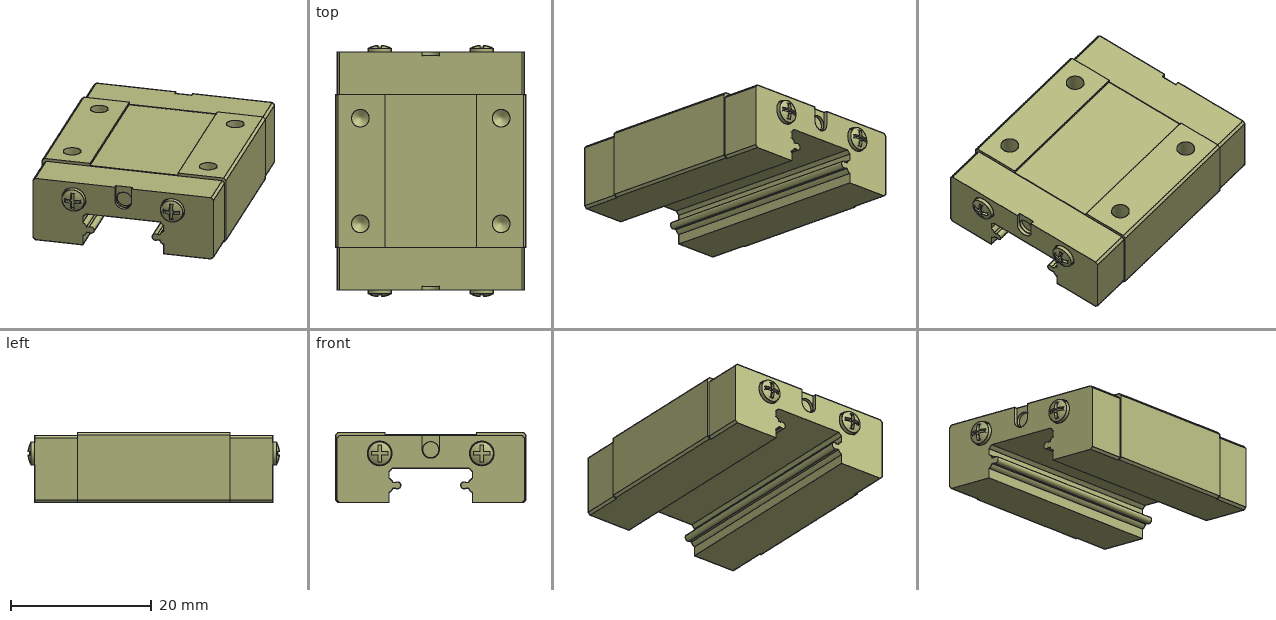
import cadquery as cq
import math

body_width = 27.0
body_length = 21.7
body_height = 10
end_width = 26.55
end_height = 9.55
end_to_end_length = 33.8
edge_chamfer = 0.35

relief_width = 12.92
relief_depth = 0.32

mount_pitch_x = 20
mount_pitch_y = 15
mount_diameter = 2.5
mount_depth = 3.57
drill_point_angle = 118

channel_half_width = 5.92
channel_height = 4.9
channel_chamfer = 0.5
bead_center_x = 4.75
bead_center_z = 2.45
bead_radius = 0.5
neck_half_height = 0.43
flare_center_x = 6.42
flare_radius = 1.15

screw_x = 7.25
screw_z = 7.0
screw_radius = 1.65
screw_clearance_radius = 1.75
screw_clearance_depth = 0.5
screw_rim_height = 0.5
screw_head_height = 0.95
cross_length = 2.4
cross_width = 0.5
cross_depth = 0.65

port_z = 7.53
port_slot_radius = 1.2
port_hole_radius = 1.15
port_slot_depth = 0.55
port_hole_depth = 1.0

end_face_y = end_to_end_length / 2


def chamfered_block(width, length, height):
    """Block standing on Z = 0 with its four lengthwise edges chamfered."""
    block = cq.Workplane("XY").box(width, length, height, centered=(True, True, False))
    return block.edges("|Y").chamfer(edge_chamfer)


def leg(hypotenuse, other_leg):
    """Remaining side of a right triangle."""
    return math.sqrt(hypotenuse**2 - other_leg**2)


def rail_channel():
    """Channel void along the whole part, leaving a bead on each wall."""
    bead_tip = (bead_center_x - bead_radius, bead_center_z)
    shoulder_x = bead_center_x + leg(bead_radius, neck_half_height)
    neck_root_x = flare_center_x - leg(flare_radius, neck_half_height)
    neck_bottom_z = bead_center_z - neck_half_height
    neck_top_z = bead_center_z + neck_half_height

    flare_half_height = leg(flare_radius, flare_center_x - channel_half_width)
    flare_bottom_z = bead_center_z - flare_half_height
    flare_top_z = bead_center_z + flare_half_height
    flare_mid_x = (channel_half_width + neck_root_x) / 2
    flare_mid_rise = leg(flare_radius, flare_center_x - flare_mid_x)

    half = (
        cq.Workplane("XZ", origin=(0, end_face_y, 0))
        .moveTo(0, 0)
        .lineTo(channel_half_width, 0)
        .lineTo(channel_half_width, flare_bottom_z)
        .threePointArc((flare_mid_x, bead_center_z - flare_mid_rise), (neck_root_x, neck_bottom_z))
        .lineTo(shoulder_x, neck_bottom_z)
        .threePointArc(bead_tip, (shoulder_x, neck_top_z))
        .lineTo(neck_root_x, neck_top_z)
        .threePointArc((flare_mid_x, bead_center_z + flare_mid_rise), (channel_half_width, flare_top_z))
        .lineTo(channel_half_width, channel_height - channel_chamfer)
        .lineTo(channel_half_width - channel_chamfer, channel_height)
        .lineTo(0, channel_height)
        .close()
        .extrude(end_to_end_length)
    )
    return half.union(half.mirror("YZ"))


def mounting_hole():
    """Drilled hole: a cylinder below Z = 0 ending in a cone."""
    radius = mount_diameter / 2
    point_length = radius / math.tan(math.radians(drill_point_angle / 2))
    return (
        cq.Workplane("XZ")
        .polyline([(0, 0), (radius, 0), (radius, -mount_depth), (0, -mount_depth - point_length)])
        .close()
        .revolve(360, (0, 0, 0), (0, 1, 0))
    )


def screw_head():
    """Domed screw head on the back end face with a cross recess."""
    head = (
        cq.Workplane("XY")
        .moveTo(0, 0)
        .lineTo(screw_radius, 0)
        .lineTo(screw_radius, screw_rim_height)
        .threePointArc(dome_midpoint(), (0, screw_head_height))
        .close()
        .revolve(360, (0, 0, 0), (0, 1, 0))
    )
    recess_start = screw_head_height - cross_depth
    for size_x, size_z in ((cross_length, cross_width), (cross_width, cross_length)):
        arm = cq.Workplane("XY").box(size_x, cross_depth, size_z, centered=(True, False, True))
        head = head.cut(arm.translate((0, recess_start, 0)))
    return head.translate((0, end_face_y, screw_z))


def screw_clearance():
    """Ring-shaped gap around the screw head, sunk into the back end face."""
    return (
        cq.Workplane("XZ", origin=(0, end_face_y, screw_z))
        .circle(screw_clearance_radius)
        .circle(screw_radius)
        .extrude(screw_clearance_depth)
    )


def dome_midpoint():
    """Point halfway along the dome arc from its rim to its crown."""
    rise = screw_head_height - screw_rim_height
    dome_radius = (screw_radius**2 + rise**2) / (2 * rise)
    half_angle = math.asin(screw_radius / dome_radius) / 2
    crown_drop = dome_radius * (1 - math.cos(half_angle))
    return dome_radius * math.sin(half_angle), screw_head_height - crown_drop


def lubrication_port():
    """Port void on the back end face."""
    face = cq.Workplane("XZ", origin=(0, end_face_y, port_z))
    hole = face.circle(port_hole_radius).extrude(port_hole_depth)
    slot_end = face.circle(port_slot_radius).extrude(port_slot_depth)
    slot_height = body_height - port_z
    slot = (
        face.center(0, slot_height / 2)
        .rect(2 * port_slot_radius, slot_height)
        .extrude(port_slot_depth)
    )
    return hole.union(slot_end).union(slot)


body = chamfered_block(body_width, body_length, body_height)
relief = cq.Workplane("XY").box(relief_width, body_length, relief_depth, centered=(True, True, False))
body = body.cut(relief.translate((0, 0, body_height - relief_depth)))

result = body.union(chamfered_block(end_width, end_to_end_length, end_height))
result = result.cut(rail_channel())

for side_x in (-1, 1):
    for side_y in (-1, 1):
        hole_center = (side_x * mount_pitch_x / 2, side_y * mount_pitch_y / 2, body_height)
        result = result.cut(mounting_hole().translate(hole_center))

port = lubrication_port()
result = result.cut(port).cut(port.mirror("XZ"))
for side_x in (-1, 1):
    screw = screw_head().translate((side_x * screw_x, 0, 0))
    clearance = screw_clearance().translate((side_x * screw_x, 0, 0))
    for end_screw, end_clearance in ((screw, clearance), (screw.mirror("XZ"), clearance.mirror("XZ"))):
        result = result.union(end_screw).cut(end_clearance)